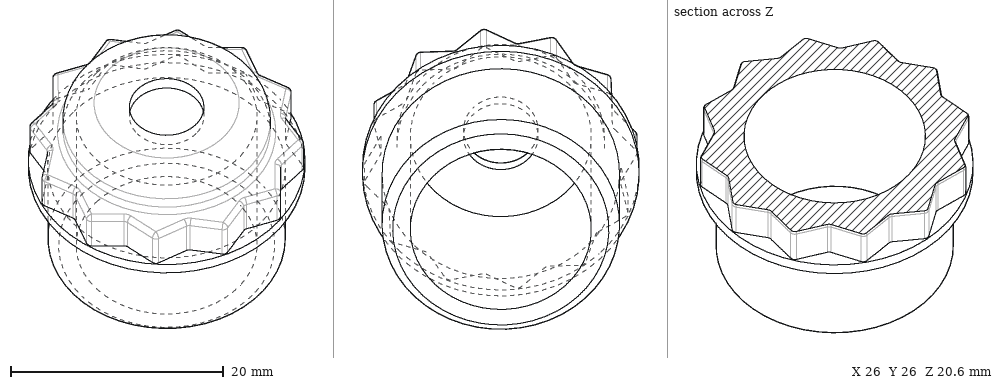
import cadquery as cq
import math

flange_bottom = 11.2
flange_top = 12.4
crown_top = 16.4
total_height = 20.6

body_diameter = 22.3
flange_diameter = 26.0
cap_diameter = 19.5
hole_diameter = 7.0
cavity_diameter = 17.0

bottom_chamfer = 1.0
neck_fillet = 0.5
cap_round = 2.5
crown_edge_fillet = 0.5

dish_angle = math.radians(10)
rim_thickness = 1.35

point_count = 12
point_pitch = 360 / point_count
point_angle = 110
tip_radius = flange_diameter / 2
half_point = math.radians(point_angle / 2)
valley_radius = tip_radius * math.sin(half_point) / math.sin(half_point + math.radians(point_pitch / 2))


def polar(radius, degrees):
    """Cartesian point at a radius and an angle from the X axis."""
    angle = math.radians(degrees)
    return (radius * math.cos(angle), radius * math.sin(angle))


def make_shell_profile():
    """Half section of the turned part: body, flange, neck, dished cap, hole and cavity."""
    body_radius = body_diameter / 2
    flange_radius = flange_diameter / 2
    cap_radius = cap_diameter / 2
    hole_radius = hole_diameter / 2
    cavity_radius = cavity_diameter / 2

    round_center_r = cap_radius - cap_round
    round_center_z = total_height - cap_round
    dish_edge_r = round_center_r - cap_round * math.sin(dish_angle)
    dish_edge_z = round_center_z + cap_round * math.cos(dish_angle)
    round_mid_angle = (math.pi / 2 + dish_angle) / 2
    round_mid = (
        round_center_r + cap_round * math.cos(round_mid_angle),
        round_center_z + cap_round * math.sin(round_mid_angle),
    )
    hole_rim_z = dish_edge_z - (dish_edge_r - hole_radius) * math.tan(dish_angle)
    ceiling_z = hole_rim_z - rim_thickness

    fillet_inset = neck_fillet * (1 - math.sqrt(0.5))
    neck_mid = (cap_radius + fillet_inset, crown_top + fillet_inset)
    core_radius = cap_radius + neck_fillet

    return (
        cq.Workplane("XZ")
        .moveTo(cavity_radius, 0)
        .lineTo(body_radius - bottom_chamfer, 0)
        .lineTo(body_radius, bottom_chamfer)
        .lineTo(body_radius, flange_bottom)
        .lineTo(flange_radius, flange_bottom)
        .lineTo(flange_radius, flange_top)
        .lineTo(core_radius, flange_top)
        .lineTo(core_radius, crown_top)
        .threePointArc(neck_mid, (cap_radius, crown_top + neck_fillet))
        .lineTo(cap_radius, round_center_z)
        .threePointArc(round_mid, (dish_edge_r, dish_edge_z))
        .lineTo(hole_radius, hole_rim_z)
        .lineTo(hole_radius, ceiling_z)
        .lineTo(cavity_radius, ceiling_z)
        .close()
    )


def make_shell():
    """Turned part, revolved about the Z axis."""
    return make_shell_profile().revolve(360, (0, 0, 0), (0, 1, 0))


def make_crown():
    """Ring with a star outline; valleys lie on the X and Y axes, its vertical and top edges are rounded."""
    outline = []
    for index in range(point_count):
        outline.append(polar(valley_radius, index * point_pitch))
        outline.append(polar(tip_radius, (index + 0.5) * point_pitch))
    star = (
        cq.Workplane("XY")
        .workplane(offset=flange_top)
        .polyline(outline)
        .close()
        .extrude(crown_top - flange_top)
    )

    mid_radius = (tip_radius + valley_radius) / 2
    valley_edges = []
    for edge in star.edges("|Z").vals():
        center = edge.Center()
        if math.hypot(center.x, center.y) < mid_radius:
            valley_edges.append(edge)
    star = star.newObject(valley_edges).fillet(crown_edge_fillet)

    tip_edges = []
    for edge in star.edges("|Z").vals():
        center = edge.Center()
        if math.hypot(center.x, center.y) > tip_radius - crown_edge_fillet:
            tip_edges.append(edge)
    top_edges = star.faces(">Z").edges().vals()
    star = star.newObject(tip_edges + top_edges).fillet(crown_edge_fillet)

    bore = (
        cq.Workplane("XY")
        .workplane(offset=flange_top)
        .circle(cap_diameter / 2)
        .extrude(crown_top - flange_top)
    )
    return star.cut(bore)


result = make_shell().union(make_crown())